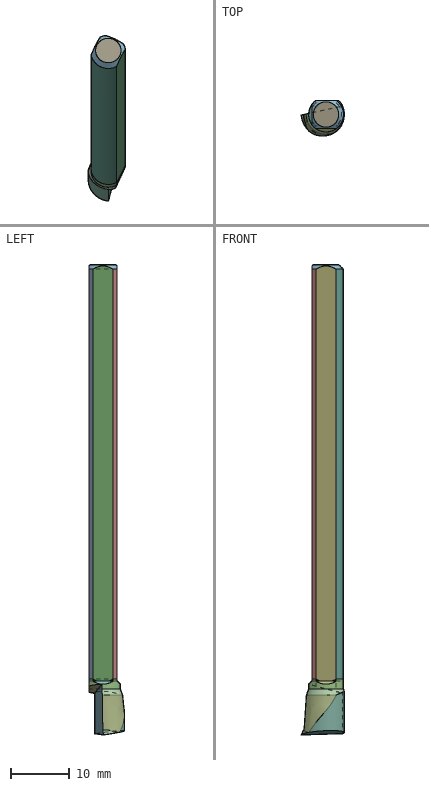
import cadquery as cq
import math

total_length = 81.1
shank_radius = 3.0
flat_offset = 2.4
joint_z = 9.65
seat_depth = 0.3
seat_z = joint_z - seat_depth
end_chamfer = 0.8

flare_top_z = 7.95
flare_bottom_z = 6.9
flare_radius = 3.4
body_end_radius = 3.65
body_end_x = -0.25
body_end_y = -0.5
tip_radius = 4.3
lip_top_z = 0.9
lip_top_radius = 3.9

bore_radius = 3.7
bore_center_x = bore_radius - tip_radius

tip_y = -0.1
rake_angle = 12.0
gullet_end_angle = 15.0
gullet_end_z = 7.95
bottom_rise_x = 0.06
bottom_rise_y = 0.14

reach = 3 * bore_radius
flat_directions = (180.0, -90.0)
through_flat_direction = 90.0


def flat_cutter(angle, bottom_z):
    """Slab that leaves a flat facing the given direction and runs out at 45 degrees."""
    runout = (
        cq.Workplane("XZ")
        .moveTo(flat_offset, total_length)
        .lineTo(flat_offset, bottom_z)
        .lineTo(flat_offset + shank_radius, bottom_z - shank_radius)
        .lineTo(flat_offset + shank_radius, total_length)
        .close()
        .extrude(shank_radius, both=True)
    )
    return runout.rotate((0, 0, 0), (0, 0, 1), angle)


def cut_flats(body):
    """Three flats: two run out just below the joint, the one facing +Y continues down."""
    for angle in flat_directions:
        body = body.cut(flat_cutter(angle, seat_z))
    return body.cut(flat_cutter(through_flat_direction, 0))


def round_bar():
    """Full round bar, chamfered at its free end and at the end that sits in the head."""
    return (
        cq.Workplane("XY", origin=(0, 0, seat_z))
        .circle(shank_radius)
        .extrude(total_length - seat_z)
        .faces(">Z")
        .chamfer(end_chamfer)
        .faces("<Z")
        .chamfer(seat_depth)
    )


def make_shank():
    """Chamfered bar with three flats."""
    return cut_flats(round_bar())


def cone_between(bottom_z, bottom_radius, top_z, top_radius, bottom_center=(0, 0)):
    """Straight sided solid between a circle below and a circle on the shank axis above."""
    return (
        cq.Workplane("XY", origin=(0, 0, bottom_z))
        .center(*bottom_center)
        .circle(bottom_radius)
        .workplane(offset=top_z - bottom_z)
        .center(-bottom_center[0], -bottom_center[1])
        .circle(top_radius)
        .loft(ruled=True)
    )


def head_blank():
    """Collar, flare, leaning tapered body and the lip behind the cutting tip."""
    collar = (
        cq.Workplane("XY", origin=(0, 0, flare_top_z))
        .circle(shank_radius)
        .extrude(joint_z - flare_top_z)
    )
    flare = cone_between(flare_bottom_z, flare_radius, flare_top_z, shank_radius)
    body = cone_between(0, body_end_radius, flare_bottom_z, flare_radius, (body_end_x, body_end_y))
    lip = cone_between(0, tip_radius, lip_top_z, lip_top_radius)
    return collar.union(flare).union(body).union(lip)


def gullet_cutter():
    """Space in front of the rake face, closed at the top by a sloping plane."""
    slope = math.tan(math.radians(gullet_end_angle))
    below_end = (
        cq.Workplane("XZ")
        .moveTo(-reach, -reach)
        .lineTo(reach, -reach)
        .lineTo(reach, gullet_end_z - slope * reach)
        .lineTo(-reach, gullet_end_z + slope * reach)
        .close()
        .extrude(reach, both=True)
    )
    rake_side = (
        cq.Workplane("XY")
        .box(2 * reach, reach, 4 * reach, centered=(True, False, True))
        .rotate((0, 0, 0), (0, 0, 1), rake_angle)
        .translate((-tip_radius, tip_y, 0))
    )
    return below_end.intersect(rake_side)


def bottom_cutter():
    """Half space under the end face, which falls away from the tip."""
    end_face = cq.Plane(
        origin=(-tip_radius, tip_y, 0),
        xDir=(1, 0, bottom_rise_x),
        normal=(bottom_rise_x, -bottom_rise_y, -1),
    )
    return cq.Workplane(end_face).rect(4 * reach, 4 * reach).extrude(reach)


def make_head():
    """Cutting head: blank trimmed by the offset cylinder, the seat and the ground planes."""
    bore = cq.Workplane("XY").center(bore_center_x, 0).circle(bore_radius).extrude(joint_z)
    head = head_blank().intersect(bore)
    head = head.cut(round_bar()).cut(gullet_cutter()).cut(bottom_cutter())
    return cut_flats(head)


shank = make_shank()
head = make_head()
result = cq.Compound.makeCompound([shank.solids().val(), head.solids().val()])